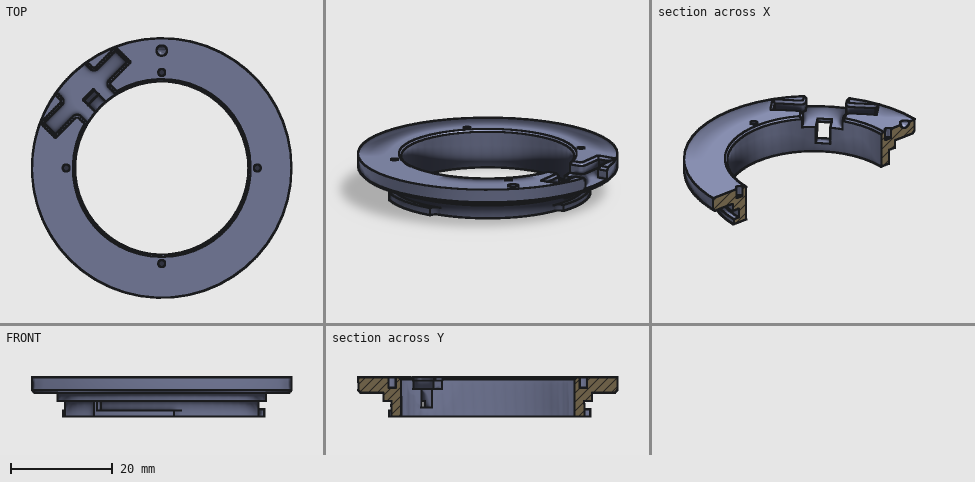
import cadquery as cq
import math

total_height = 7.75
flange_bottom = total_height - 3.05
seat_bottom = total_height - 4.7

flange_radius = 25.5
seat_radius = 20.5
neck_radius = 19.0
bore_radius = 34.0 / 2
rim_chamfer = 0.5
bore_chamfer = 0.45

lug_radius = 20.25
lug_height = 1.2
thick_lug_height = 1.5
hollow_radius = 1.3
lug_overlap = 0.5
lug_span = 38.8
first_lug_start = 4.7
lug_pitch = 120.0
stop_lug_start = 229.0
stop_lug_end = 276.8
stop_width_angle = 2.2

pocket_angle = 135.3
slot_angle = 135.0
pocket_depth = 2.3
mouth_height = 0.6
mouth_growth = 0.5
pocket_corner_radius = 0.95
bar_centre = 21.05
bar_width = 3.15
bar_length = 20.0
channel_width = 7.95
channel_inner = 12.75
channel_outer = 30.6

slot_width = 2.85
slot_end = 20.4
slot_floor = total_height - 5.9

pin_hole_diameter = 1.4
pin_hole_depth = 2.05
pin_circle_radius = 18.75
dimple_radius = 1.0
dimple_centre = 23.05


def polar(radius, angle):
    """Point at a radius and an angle in degrees."""
    turn = math.radians(angle)
    return radius * math.cos(turn), radius * math.sin(turn)


def disc(radius, bottom, top):
    return cq.Workplane("XY").workplane(offset=bottom).circle(radius).extrude(top - bottom)


def ring_sector(outer_radius, start, end, height):
    """Arc-shaped block that overlaps the neck, between two radial ends."""
    inner_radius = neck_radius - lug_overlap
    middle = (start + end) / 2
    return (
        cq.Workplane("XY")
        .moveTo(*polar(inner_radius, start))
        .lineTo(*polar(outer_radius, start))
        .threePointArc(polar(outer_radius, middle), polar(outer_radius, end))
        .lineTo(*polar(inner_radius, end))
        .threePointArc(polar(inner_radius, middle), polar(inner_radius, start))
        .close()
        .extrude(height)
    )


def add_lug(ring, start, end, height, stop_angle=0):
    """Add a lug with round hollows at both ends and, if asked, a full-height stop at its start."""
    hollow_angle = math.degrees(2 * math.asin(hollow_radius / (2 * lug_radius)))
    ring = ring.union(ring_sector(lug_radius, start - hollow_angle, end + hollow_angle, height))
    start_height = height
    if stop_angle:
        start_height = seat_bottom
        ring = ring.union(ring_sector(lug_radius, start - hollow_angle, start + stop_angle, seat_bottom))
    for angle, hollow_height in ((start - hollow_angle, start_height), (end + hollow_angle, height)):
        hollow = cq.Workplane("XY").center(*polar(lug_radius, angle)).circle(hollow_radius)
        ring = ring.cut(hollow.extrude(hollow_height))
    return ring


def cross_prism(growth):
    """Cross-shaped prism with rounded inner corners, its outline moved outward by growth."""
    bar = cq.Workplane("XY").box(
        bar_width + 2 * growth, bar_length + 2 * growth, pocket_depth, centered=(True, True, False)
    )
    channel = cq.Workplane("XY").box(
        channel_outer - channel_inner, channel_width + 2 * growth, pocket_depth, centered=(False, True, False)
    )
    cross = bar.translate((bar_centre, 0, 0)).union(channel.translate((channel_inner, 0, 0)))
    inner_corners = cq.selectors.BoxSelector(
        (bar_centre - bar_width, -channel_width, 0),
        (bar_centre + bar_width, channel_width, pocket_depth),
    )
    return cross.edges("|Z").edges(inner_corners).fillet(pocket_corner_radius - growth)


def cross_pocket():
    """Cross-shaped cutter with a chamfered mouth."""
    straight = cross_prism(0)
    mouth_bottom = straight.faces("<Z").val().outerWire()
    mouth_top = cross_prism(mouth_growth).faces("<Z").val().outerWire()
    mouth = cq.Solid.makeLoft(
        [
            mouth_bottom.translate(cq.Vector(0, 0, pocket_depth - mouth_height)),
            mouth_top.translate(cq.Vector(0, 0, pocket_depth)),
        ],
        True,
    )
    cutter = straight.union(cq.Workplane(mouth)).translate((0, 0, total_height - pocket_depth))
    return cutter.rotate((0, 0, 0), (0, 0, 1), pocket_angle)


def radial_slot(end, bottom, top):
    """Straight slot from inside the bore out to a given radius."""
    cutter = cq.Workplane("XY").box(
        end - channel_inner, slot_width, top - bottom, centered=(False, True, False)
    )
    return cutter.translate((channel_inner, 0, bottom)).rotate((0, 0, 0), (0, 0, 1), slot_angle)


body = disc(flange_radius, flange_bottom, total_height).faces("<Z").edges().chamfer(rim_chamfer)
body = body.union(disc(seat_radius, seat_bottom, flange_bottom))
body = body.union(disc(neck_radius, 0, seat_bottom))

second_lug_start = first_lug_start + lug_pitch
body = add_lug(body, first_lug_start, first_lug_start + lug_span, thick_lug_height)
body = add_lug(body, second_lug_start, second_lug_start + lug_span, lug_height)
body = add_lug(body, stop_lug_start, stop_lug_end, lug_height, stop_width_angle)

body = body.cut(disc(bore_radius, 0, total_height))
body = body.faces(">Z").edges("%CIRCLE").edges(cq.selectors.RadiusNthSelector(0)).chamfer(bore_chamfer)

body = body.cut(cross_pocket())
body = body.cut(radial_slot(slot_end, slot_floor, total_height))
body = body.cut(radial_slot(seat_radius + 0.5, slot_floor, flange_bottom))

pin_holes = (
    cq.Workplane("XY").workplane(offset=total_height - pin_hole_depth)
    .polarArray(pin_circle_radius, 0, 360, 4)
    .circle(pin_hole_diameter / 2)
    .extrude(pin_hole_depth)
)
dimple = cq.Workplane("XY").sphere(dimple_radius).translate((0, dimple_centre, total_height))

result = body.cut(pin_holes).cut(dimple)